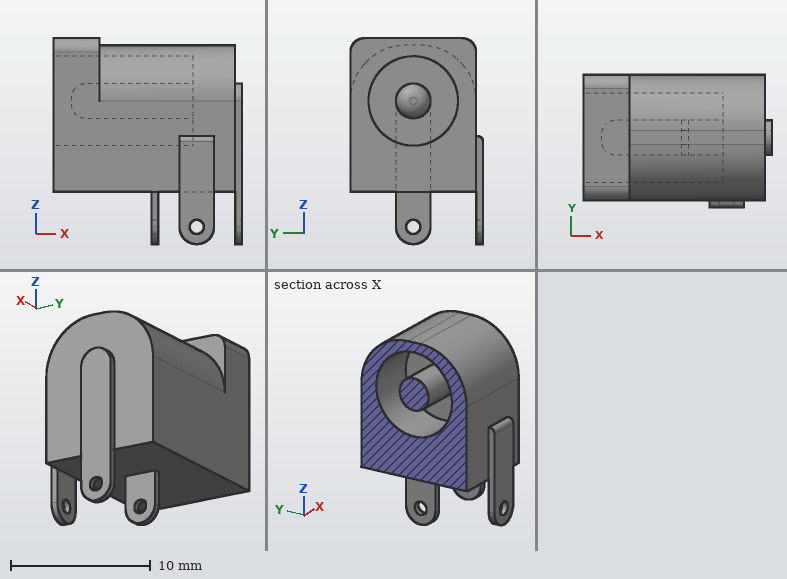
import cadquery as cq

housing_length = 13.0
housing_width = 9.0
flange_length = 3.3
flange_height = 11.0
flange_corner_radius = 1.0
barrel_height = 10.5
barrel_corner_radius = 4.0

socket_diameter = 6.4
socket_depth = 10.0
socket_axis_z = barrel_height - barrel_corner_radius
contact_diameter = 2.5
contact_tip_radius = 1.0
contact_tip_x = 1.3

terminal_width = contact_diameter
terminal_radius = terminal_width / 2
terminal_thickness = 0.5
terminal_drop = 3.75
terminal_hole_diameter = 1.0
terminal_embed = 0.5
middle_terminal_x = 7.0
side_terminal_x = 10.25
side_terminal_top = 4.0
side_terminal_edge_radius = 0.4


def rounded_block(length, height, corner_radius):
    """Block along X with both upper long edges rounded."""
    block = cq.Workplane("XY").box(length, housing_width, height, centered=(False, True, False))
    return block.edges("|X and >Z").fillet(corner_radius)


def terminal(plane, top):
    """Strip with a rounded, drilled lower end, extruded along the plane normal."""
    eye_z = terminal_radius - terminal_drop
    strip = (
        cq.Workplane(plane)
        .moveTo(-terminal_radius, top)
        .lineTo(-terminal_radius, eye_z)
        .threePointArc((0, -terminal_drop), (terminal_radius, eye_z))
        .lineTo(terminal_radius, top)
        .close()
        .extrude(terminal_thickness)
    )
    eye = (
        cq.Workplane(plane)
        .center(0, eye_z)
        .circle(terminal_hole_diameter / 2)
        .extrude(terminal_thickness)
    )
    return strip.cut(eye)


def x_cylinder(diameter, start_x, length):
    """Cylinder along the socket axis."""
    plane = cq.Workplane("YZ", origin=(start_x, 0, socket_axis_z))
    return plane.circle(diameter / 2).extrude(length)


flange = rounded_block(flange_length, flange_height, flange_corner_radius)
barrel = rounded_block(housing_length, barrel_height, barrel_corner_radius)
housing = flange.union(barrel).cut(x_cylinder(socket_diameter, 0, socket_depth))

contact = x_cylinder(contact_diameter, contact_tip_x, housing_length - contact_tip_x)
contact = contact.faces("<X").edges().fillet(contact_tip_radius)

middle_terminal = terminal("YZ", terminal_embed).translate((middle_terminal_x, 0, 0))

rear_terminal = terminal("YZ", socket_axis_z).translate((housing_length, 0, 0))
rear_head = x_cylinder(terminal_width, housing_length, terminal_thickness)

side_terminal = terminal("XZ", side_terminal_top)
side_terminal = side_terminal.edges("|X and >Z and <Y").fillet(side_terminal_edge_radius)
side_terminal = side_terminal.translate((side_terminal_x, -housing_width / 2, 0))

result = housing
for component in (contact, middle_terminal, rear_terminal, rear_head, side_terminal):
    result = result.union(component)